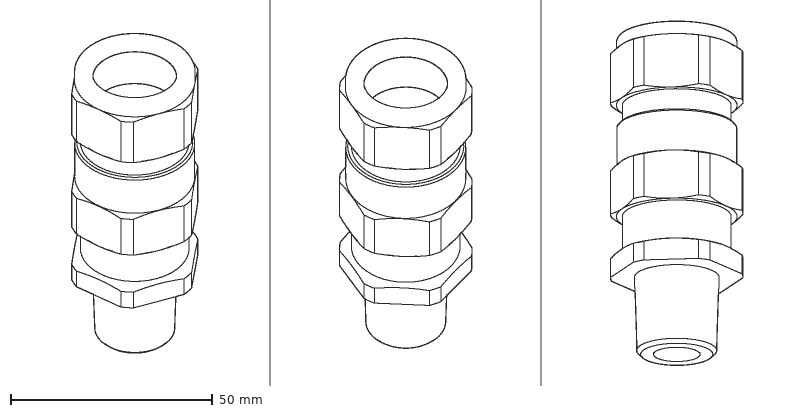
import cadquery as cq
import math

total_height = 82.4
flange_bottom = 20.0
flange_shoulder = 26.0
middle_bottom = 35.9
middle_hex_top = 48.5
collar_top = 59.4
cap_bottom = 64.9
cap_hex_top = 78.85
joint_depth = 4.7

hex_inradius = 15.0
hex_corner_radius = 16.5
neck_radius = 13.5
bore_radius = 10.4

shallow_chamfer_angle = 20.0
steep_chamfer_angle = 25.0

cap_edge_fillet = 1.1
lip_radius = 2.15
lip_land = 0.7
lip_relief = 0.1

collar_radius = 14.9
collar_edge_chamfer = 0.5

thread_top_radius = 10.55
thread_taper = 1 / 32
thread_end_chamfer = 1.0
mouth_radius = 9.3
mouth_chamfer = 0.5
upper_cone_end_radius = 8.1
ledge_step_radius = 7.7
ledge_step_depth = 0.8
lower_cone_start_radius = 7.0
exit_radius = 5.8

neck_top = cap_bottom + joint_depth
entry_top = middle_bottom + joint_depth
ledge_height = flange_bottom


def revolve_profile(points):
    """Turn a closed outline of (radius, height) points around the Z axis."""
    return cq.Workplane("XZ").polyline(points).close().revolve(360, (0, 0), (0, 1))


def cylinder(radius, bottom, top):
    """Solid cylinder around the Z axis between two heights."""
    return cq.Workplane("XY").workplane(offset=bottom).circle(radius).extrude(top - bottom)


def chamfer_drop(start_radius, angle):
    """Height that a hexagon chamfer loses between start_radius and the corners."""
    return (hex_corner_radius - start_radius) * math.tan(math.radians(angle))


def hexagon(bottom, top, top_start_radius, top_angle, bottom_angle=0.0):
    """Hexagon with corners on +Y and -Y, turned to a cone at the top and at the bottom."""
    corner_distance = 2 * hex_inradius / math.cos(math.pi / 6)
    prism = (
        cq.Workplane("XY")
        .workplane(offset=bottom)
        .polygon(6, corner_distance)
        .extrude(top - bottom)
        .rotate((0, 0, 0), (0, 0, 1), 30)
    )
    turned = revolve_profile([
        (0, bottom),
        (hex_inradius, bottom),
        (hex_corner_radius, bottom + chamfer_drop(hex_inradius, bottom_angle)),
        (hex_corner_radius, top - chamfer_drop(top_start_radius, top_angle)),
        (top_start_radius, top),
        (0, top),
    ])
    return prism.intersect(turned)


def make_cap():
    """Cap nut with a rounded mouth and a socket for the middle body's neck."""
    land_top = total_height - lip_radius
    land_bottom = land_top - lip_land
    lip_arc_offset = lip_radius * (1 - math.sqrt(0.5))
    rim = cylinder(hex_inradius, cap_hex_top, total_height).faces(">Z").edges().fillet(cap_edge_fillet)
    body = hexagon(cap_bottom, cap_hex_top, hex_inradius, shallow_chamfer_angle, steep_chamfer_angle)
    bore = (
        cq.Workplane("XZ")
        .moveTo(0, neck_top)
        .lineTo(bore_radius + lip_relief, neck_top)
        .lineTo(bore_radius + lip_relief, land_bottom)
        .lineTo(bore_radius, land_bottom)
        .lineTo(bore_radius, land_top)
        .threePointArc(
            (bore_radius + lip_arc_offset, total_height - lip_arc_offset),
            (bore_radius + lip_radius, total_height),
        )
        .lineTo(0, total_height)
        .close()
        .revolve(360, (0, 0), (0, 1))
    )
    socket = cylinder(neck_radius, cap_bottom, neck_top)
    return body.union(rim).cut(bore).cut(socket)


def make_middle():
    """Sleeve with a hexagon, a round collar and a neck, and a socket for the entry neck."""
    body = hexagon(middle_bottom, middle_hex_top, collar_radius, steep_chamfer_angle, steep_chamfer_angle)
    collar = cylinder(collar_radius, middle_hex_top, collar_top)
    collar = collar.faces(">Z").edges().chamfer(collar_edge_chamfer)
    neck = cylinder(neck_radius, collar_top, neck_top)
    bore = cylinder(bore_radius, entry_top, neck_top)
    socket = cylinder(neck_radius, middle_bottom, entry_top)
    return body.union(collar).union(neck).cut(bore).cut(socket)


def make_entry():
    """Entry fitting: neck, hexagon flange and tapered thread around a stepped conical bore."""
    flange = hexagon(flange_bottom, flange_shoulder, neck_radius, shallow_chamfer_angle)
    neck = cylinder(neck_radius, flange_shoulder, entry_top)
    thread_end_radius = thread_top_radius - thread_taper * (flange_bottom - thread_end_chamfer)
    thread = revolve_profile([
        (0, 0),
        (thread_end_radius - thread_end_chamfer, 0),
        (thread_end_radius, thread_end_chamfer),
        (thread_top_radius, flange_bottom),
        (0, flange_bottom),
    ])
    bore = revolve_profile([
        (0, 0),
        (exit_radius, 0),
        (lower_cone_start_radius, ledge_height - ledge_step_depth),
        (ledge_step_radius, ledge_height - ledge_step_depth),
        (ledge_step_radius, ledge_height),
        (upper_cone_end_radius, ledge_height),
        (mouth_radius - mouth_chamfer, entry_top - mouth_chamfer),
        (mouth_radius, entry_top),
        (0, entry_top),
    ])
    return flange.union(neck).union(thread).cut(bore)


cap = make_cap()
middle = make_middle()
entry = make_entry()

result = cq.Compound.makeCompound([cap.val(), middle.val(), entry.val()])